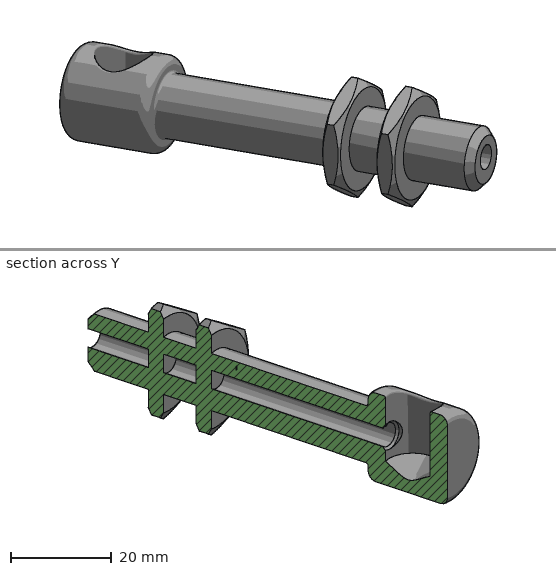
import cadquery as cq
import math

total_length = 90.0
head_diameter = 20.0
head_length = head_diameter
head_fillet = 2.0
shaft_diameter = 13.1
neck_fillet = 0.5
shaft_tip_chamfer = 1.6

nut_across_flats = 22.0
nut_thickness = 4.0
nut_starts = (59.0, 71.0)
nut_face_diameter = 21.0
nut_chamfer_angle = 30.0
nut_corner_diameter = nut_across_flats / math.cos(math.radians(30))

cross_hole_diameter = 11.4
cross_hole_floor = -4.5
cross_hole_tip_depth = 3.3
cross_hole_rim_fillet = 0.5

bore_diameter = 5.0
bore_mouth_diameter = 6.0
bore_height = 0.5

head_radius = head_diameter / 2
head_center = head_length / 2
cross_hole_radius = cross_hole_diameter / 2


def make_body():
    """Round head with filleted ends on a chamfered shaft."""
    shaft_radius = shaft_diameter / 2
    body = (
        cq.Workplane("XY")
        .moveTo(0, 0)
        .lineTo(0, head_radius)
        .lineTo(head_length, head_radius)
        .lineTo(head_length, shaft_radius)
        .lineTo(total_length - shaft_tip_chamfer, shaft_radius)
        .lineTo(total_length, shaft_radius - shaft_tip_chamfer)
        .lineTo(total_length, 0)
        .close()
        .revolve(360, (0, 0, 0), (1, 0, 0))
    )
    margin = 0.1
    head_rims = cq.selectors.RadiusNthSelector(-1)
    body = body.edges("%CIRCLE").edges(head_rims).fillet(head_fillet)
    neck_zone = cq.selectors.BoxSelector(
        (head_length - margin, -head_radius, -head_radius),
        (head_length + margin, head_radius, head_radius),
    )
    neck = cq.selectors.RadiusNthSelector(0)
    return body.edges("%CIRCLE").edges(neck_zone).edges(neck).fillet(neck_fillet)


def cut_cross_hole(body):
    """Drill a cone-bottomed hole down into the head and soften its rim."""
    drill = (
        cq.Workplane("XZ", origin=(head_center, 0, 0))
        .moveTo(0, cross_hole_floor - cross_hole_tip_depth)
        .lineTo(cross_hole_radius, cross_hole_floor)
        .lineTo(cross_hole_radius, head_diameter)
        .lineTo(0, head_diameter)
        .close()
        .revolve(360, (0, 0, 0), (0, 1, 0))
    )
    drilled = body.cut(drill)
    rim_zone = cq.selectors.BoxSelector(
        (head_center - head_radius, -head_radius, head_radius / 2),
        (head_center + cross_hole_radius, head_radius, head_diameter),
    )
    rim = drilled.edges(rim_zone).edges("not(%CIRCLE or %LINE)")
    return rim.fillet(cross_hole_rim_fillet)


def cut_axial_bore(body):
    """Bore from the shaft tip into the cross hole, with a countersunk inner mouth."""
    bore_radius = bore_diameter / 2
    mouth_radius = bore_mouth_diameter / 2
    mouth_x = head_center + math.sqrt(cross_hole_radius**2 - mouth_radius**2)
    wall_x = head_center + cross_hole_radius
    countersink_end = wall_x + mouth_radius - bore_radius
    tool = (
        cq.Workplane("XY")
        .moveTo(head_center, 0)
        .lineTo(head_center, bore_radius)
        .lineTo(mouth_x, bore_radius)
        .lineTo(mouth_x, mouth_radius)
        .lineTo(wall_x, mouth_radius)
        .lineTo(countersink_end, bore_radius)
        .lineTo(total_length, bore_radius)
        .lineTo(total_length, 0)
        .close()
        .revolve(360, (0, 0, 0), (1, 0, 0))
    )
    return body.cut(tool.translate((0, 0, bore_height)))


def make_nut(start):
    """Hexagonal nut with both faces bevelled to a circle; corners point up and down."""
    prism = (
        cq.Workplane("YZ", origin=(start, 0, 0))
        .polygon(6, nut_corner_diameter)
        .extrude(nut_thickness)
        .rotate((0, 0, 0), (1, 0, 0), 90)
    )
    face_radius = nut_face_diameter / 2
    bevel_rise = (nut_thickness / 2) / math.tan(math.radians(nut_chamfer_angle))
    end = start + nut_thickness
    envelope = (
        cq.Workplane("XY")
        .moveTo(start, 0)
        .lineTo(start, face_radius)
        .lineTo(start + nut_thickness / 2, face_radius + bevel_rise)
        .lineTo(end, face_radius)
        .lineTo(end, 0)
        .close()
        .revolve(360, (0, 0, 0), (1, 0, 0))
    )
    return prism.intersect(envelope)


result = cut_axial_bore(cut_cross_hole(make_body()))
for nut_start in nut_starts:
    result = result.union(make_nut(nut_start))